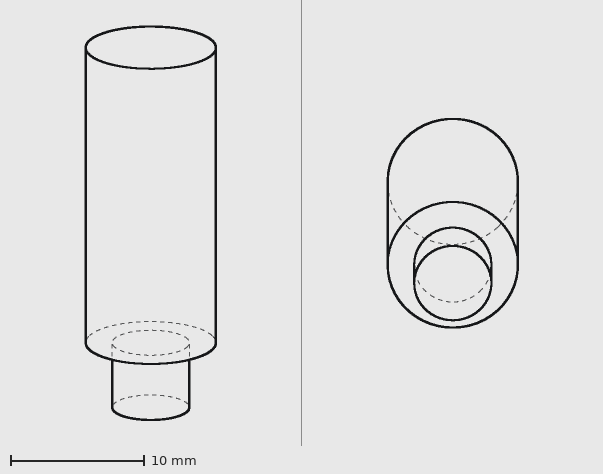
import cadquery as cq

total_height = 28.6
body_diameter = 9.8
pin_diameter = 5.8
pin_length = 5.15

body_height = total_height - pin_length


def make_body():
    """Plain cylinder standing on the top face of the pin."""
    return cq.Workplane("XY").workplane(offset=pin_length).circle(body_diameter / 2).extrude(body_height)


def make_pin():
    """Narrower coaxial cylinder that meets the underside of the body."""
    return cq.Workplane("XY").circle(pin_diameter / 2).extrude(pin_length)


body = make_body()
pin = make_pin()

result = cq.Compound.makeCompound([body.val(), pin.val()])